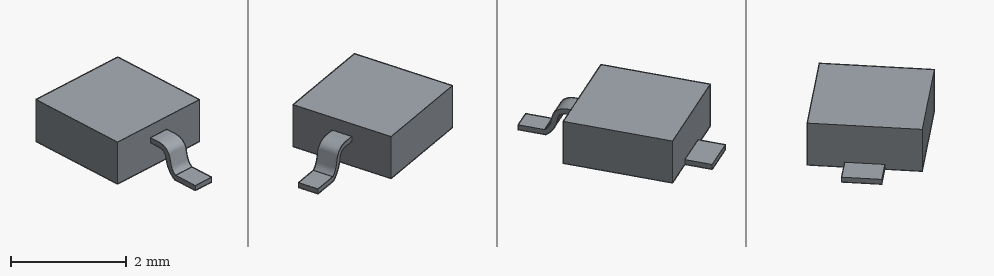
import cadquery as cq

HOUSING_SIDE = 2.0
HOUSING_HEIGHT = 0.85
HOUSING_FACE_X = HOUSING_SIDE / 2

SHEET_THICKNESS = 0.1

TAB_LENGTH = 0.5
TAB_WIDTH = 0.7

LEAD_REACH = 1.1
LEAD_WIDTH = 0.4
LEAD_TOP = 0.595
SHOULDER_LENGTH = 0.15
TOP_BEND_END = 0.617
BOTTOM_BEND_END = 0.595

TOP_BEND_POINTS = [(0.273, 0.588), (0.382, 0.540), (0.457, 0.452), (0.490, 0.336), (0.523, 0.217)]
BOTTOM_BEND_POINTS = [
    (0.237, 0.491), (0.309, 0.472), (0.360, 0.421),
    (0.384, 0.336), (0.412, 0.231), (0.463, 0.132),
]


def make_housing():
    """Rectangular block carrying the flat tab on its -X face."""
    standing_on_base = (True, True, False)
    block = cq.Workplane("XY").box(HOUSING_SIDE, HOUSING_SIDE, HOUSING_HEIGHT, centered=standing_on_base)
    tab = (
        cq.Workplane("XY")
        .center(-HOUSING_FACE_X - TAB_LENGTH / 2, 0)
        .box(TAB_LENGTH, TAB_WIDTH, SHEET_THICKNESS, centered=standing_on_base)
    )
    return block.union(tab)


def make_lead():
    """Gull-wing strip: straight shoulder, smooth S-bend and a foot level with the housing underside."""
    lead_bottom = LEAD_TOP - SHEET_THICKNESS
    top_bend = [*TOP_BEND_POINTS, (TOP_BEND_END, SHEET_THICKNESS)]
    bottom_bend = [*reversed(BOTTOM_BEND_POINTS), (SHOULDER_LENGTH, lead_bottom)]
    return (
        cq.Workplane("XZ", origin=(HOUSING_FACE_X, LEAD_WIDTH / 2, 0))
        .moveTo(0, LEAD_TOP)
        .lineTo(SHOULDER_LENGTH, LEAD_TOP)
        .spline(top_bend, includeCurrent=True)
        .lineTo(LEAD_REACH, SHEET_THICKNESS)
        .lineTo(LEAD_REACH, 0)
        .lineTo(BOTTOM_BEND_END, 0)
        .spline(bottom_bend, includeCurrent=True)
        .lineTo(0, lead_bottom)
        .close()
        .extrude(LEAD_WIDTH)
    )


housing = make_housing()
lead = make_lead()

result = cq.Compound.makeCompound([housing.val(), lead.val()])